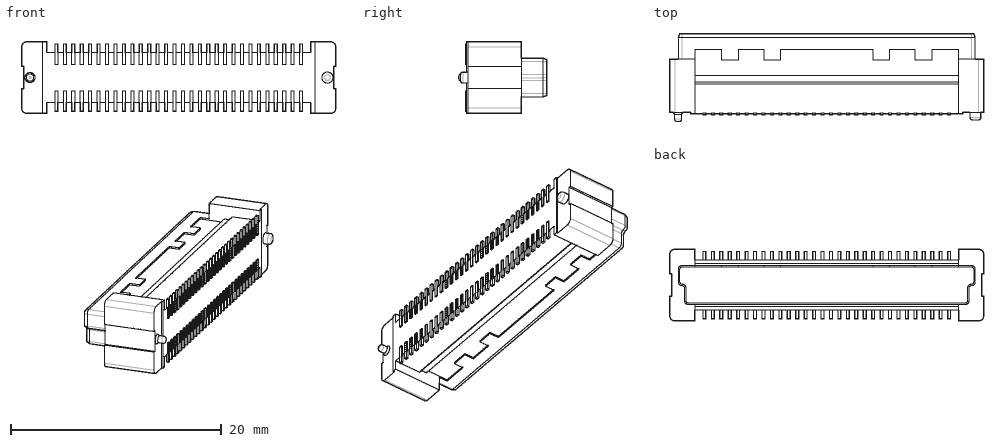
import cadquery as cq

OVERALL_LENGTH = 29.8
OVERALL_HEIGHT = 6.8
OVERALL_DEPTH = 8.35

BLOCK_INNER_X = 12.5
BLOCK_OUTER_X = OVERALL_LENGTH / 2
BLOCK_FRONT_Y = 0.15
BLOCK_BACK_Y = 5.2
BLOCK_CORNER_RADIUS = 0.5
NOTCH_HEIGHT = 2.1
NOTCH_DEPTH = 0.2
FLANGE_WIDTH = 0.4

PEG_X = 14.1
PEG_TIP_RADIUS = 0.25
LEFT_PEG_DIAMETER = 0.7
LEFT_PEG_TIP_Y = -0.73
LEFT_PEG_BASE_DIAMETER = 0.95
LEFT_PEG_BASE_HEIGHT = 0.2
RIGHT_PEG_DIAMETER = 1.05
RIGHT_PEG_TIP_Y = -0.58

BODY_HALF_HEIGHT = 2.38
STEP_HALF_HEIGHT = 2.05
DECK_HALF_HEIGHT = 1.7
BODY_STEP_Y = 2.85
STEP_SLOPE_DEPTH = 0.18
STEP_BACK_Y = 3.65

TONGUE_TIP_Y = OVERALL_DEPTH + LEFT_PEG_TIP_Y
TONGUE_HALF_HEIGHT = 1.85
TONGUE_HALF_LENGTH = 14.08
TONGUE_LEDGE_Z = -0.05
TONGUE_CORNER_RADIUS = 0.35
TONGUE_LEDGE_RADIUS = 0.25
TIP_CHAMFER_LENGTH = 0.36
TIP_CHAMFER_INSET = 0.14

RECESS_BACK_Y = 6.1
TOOTH_LENGTH = 1.0
TOOTH_SPANS = ((4.4, 5.95), (8.35, 10.0))

PIN_COUNT = 30
PIN_PITCH = 0.8
PIN_WIDTH = 0.3
PIN_THICKNESS = 0.2
PIN_PROUD = 0.1
PIN_INNER_Z = 1.25
PIN_OUTER_Z = 3.2


def box(x_range, y_range, z_range):
    """Box filling the given (low, high) ranges."""
    low = (x_range[0], y_range[0], z_range[0])
    size = (x_range[1] - low[0], y_range[1] - low[1], z_range[1] - low[2])
    return cq.Workplane("XY").box(*size, centered=False).translate(low)


def extrude_y(outline, start_y, end_y):
    """Extrude an XZ outline, drawn at Y = 0, from start_y to end_y."""
    return outline.extrude(start_y - end_y).translate((0, start_y, 0))


def mirrored_in_x(shape):
    return shape.union(shape.mirror("YZ"))


def mirrored_in_z(shape):
    return shape.union(shape.mirror("XY"))


def tongue_outline():
    """Stepped outline whose ledges are S-curves of a convex and a concave quarter arc."""
    lower_half_length = TONGUE_HALF_LENGTH - TONGUE_CORNER_RADIUS - TONGUE_LEDGE_RADIUS
    ledge_bend_x = TONGUE_HALF_LENGTH - TONGUE_CORNER_RADIUS
    corner_bottom_z = -TONGUE_HALF_HEIGHT + TONGUE_CORNER_RADIUS
    corner_top_z = TONGUE_HALF_HEIGHT - TONGUE_CORNER_RADIUS
    corner_bottom_x = lower_half_length - TONGUE_CORNER_RADIUS
    return (
        cq.Workplane("XZ")
        .moveTo(0, -TONGUE_HALF_HEIGHT)
        .lineTo(corner_bottom_x, -TONGUE_HALF_HEIGHT)
        .radiusArc((lower_half_length, corner_bottom_z), -TONGUE_CORNER_RADIUS)
        .lineTo(lower_half_length, TONGUE_LEDGE_Z - TONGUE_LEDGE_RADIUS)
        .radiusArc((ledge_bend_x, TONGUE_LEDGE_Z), TONGUE_LEDGE_RADIUS)
        .radiusArc((TONGUE_HALF_LENGTH, TONGUE_LEDGE_Z + TONGUE_CORNER_RADIUS), -TONGUE_CORNER_RADIUS)
        .lineTo(TONGUE_HALF_LENGTH, corner_top_z)
        .radiusArc((ledge_bend_x, TONGUE_HALF_HEIGHT), -TONGUE_CORNER_RADIUS)
        .lineTo(0, TONGUE_HALF_HEIGHT)
        .mirrorY()
    )


def make_tongue():
    tongue = extrude_y(tongue_outline(), STEP_BACK_Y, TONGUE_TIP_Y)
    tip_face = tongue.faces(">Y").val()
    chamfered = tongue.val().chamfer(TIP_CHAMFER_LENGTH, TIP_CHAMFER_INSET, tip_face.Edges())
    return cq.Workplane("XY").newObject([chamfered])


def make_recess():
    """Volume removed above the deck of the tongue, leaving the teeth standing."""
    z_range = (DECK_HALF_HEIGHT, TONGUE_HALF_HEIGHT)
    recess = box((-BLOCK_INNER_X, BLOCK_INNER_X), (STEP_BACK_Y, RECESS_BACK_Y), z_range)
    for span in TOOTH_SPANS:
        tooth = box(span, (RECESS_BACK_Y - TOOTH_LENGTH, RECESS_BACK_Y), z_range)
        recess = recess.cut(mirrored_in_x(tooth))
    return mirrored_in_z(recess)


def make_body():
    """Stepped core between the end blocks, extruded along X."""
    upper_half = (
        cq.Workplane("YZ")
        .moveTo(0, 0)
        .lineTo(0, BODY_HALF_HEIGHT)
        .lineTo(BODY_STEP_Y, BODY_HALF_HEIGHT)
        .lineTo(BODY_STEP_Y + STEP_SLOPE_DEPTH, STEP_HALF_HEIGHT)
        .lineTo(STEP_BACK_Y, STEP_HALF_HEIGHT)
        .lineTo(STEP_BACK_Y, 0)
        .close()
        .extrude(BLOCK_INNER_X, both=True)
    )
    return mirrored_in_z(upper_half)


def make_end_blocks():
    half_height = OVERALL_HEIGHT / 2
    z_range = (-half_height, half_height)
    block = (
        box((BLOCK_INNER_X, BLOCK_OUTER_X), (BLOCK_FRONT_Y, BLOCK_BACK_Y), z_range)
        .edges("|Y and >X")
        .fillet(BLOCK_CORNER_RADIUS)
    )
    notch = box(
        (BLOCK_OUTER_X - NOTCH_DEPTH, BLOCK_OUTER_X),
        (BLOCK_FRONT_Y, BLOCK_BACK_Y),
        (-NOTCH_HEIGHT / 2, NOTCH_HEIGHT / 2),
    )
    flange = box((BLOCK_INNER_X, BLOCK_INNER_X + FLANGE_WIDTH), (0, BLOCK_FRONT_Y), z_range)
    return mirrored_in_x(block.cut(notch).union(flange))


def make_peg(x, diameter, tip_y):
    """Round peg pointing towards -Y with a rounded tip."""
    peg = extrude_y(cq.Workplane("XZ").circle(diameter / 2), tip_y, BLOCK_FRONT_Y)
    return peg.faces("<Y").edges().fillet(PEG_TIP_RADIUS).translate((x, 0, 0))


def make_left_peg_base():
    """Cone that widens the left peg where it meets its block."""
    cone = cq.Solid.makeCone(
        LEFT_PEG_BASE_DIAMETER / 2,
        LEFT_PEG_DIAMETER / 2,
        LEFT_PEG_BASE_HEIGHT,
        pnt=cq.Vector(-PEG_X, BLOCK_FRONT_Y, 0),
        dir=cq.Vector(0, -1, 0),
    )
    return cq.Workplane("XY").newObject([cone])


def make_pins():
    pins = cq.Workplane("XY")
    first_x = -PIN_PITCH * (PIN_COUNT - 1) / 2
    for index in range(PIN_COUNT):
        x = first_x + index * PIN_PITCH
        pins = pins.add(
            box(
                (x - PIN_WIDTH / 2, x + PIN_WIDTH / 2),
                (-PIN_PROUD, PIN_THICKNESS - PIN_PROUD),
                (PIN_INNER_Z, PIN_OUTER_Z),
            )
        )
    return mirrored_in_z(pins.combine())


result = (
    make_tongue()
    .cut(make_recess())
    .union(make_body())
    .union(make_end_blocks())
    .union(make_peg(-PEG_X, LEFT_PEG_DIAMETER, LEFT_PEG_TIP_Y))
    .union(make_left_peg_base())
    .union(make_peg(PEG_X, RIGHT_PEG_DIAMETER, RIGHT_PEG_TIP_Y))
    .union(make_pins())
)